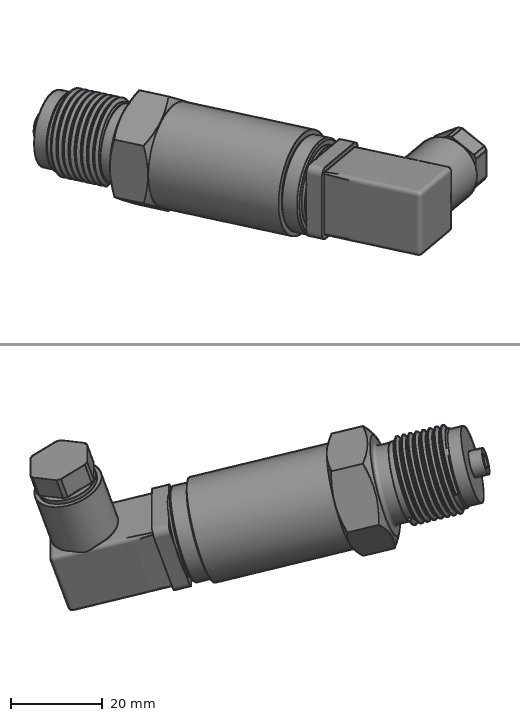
import cadquery as cq
import math


overall_depth = 39.2

tip_end = 3.0
thread_start = 6.0
thread_end = 19.5
hex_start = 23.0
hex_end = 32.7
housing_end = 64.6
cap_end = 69.0
gasket_end = 69.75
base_end = 73.5
plug_end = 97.3

tip_diameter = 6.0
port_diameter = 3.3
lead_diameter = 17.4
lead_cone_length = 0.4
thread_root_diameter = 18.1
thread_major_diameter = 19.8
thread_pitch = 1.5
ridge_root_width = 1.5
ridge_crest_width = 0.2
ridge_embed = 0.1
ridge_start = 6.8
ridge_length = 11.9
neck_diameter = 17.8
neck_fillet = 0.8
hex_corner_diameter = 27.7
hex_flats = hex_corner_diameter * math.cos(math.radians(30))
hex_front_face_diameter = 22.8
hex_rear_face_diameter = 23.8
hex_chamfer_slope = math.tan(math.radians(30))

housing_diameter = 23.8
cap_diameter = 21.8
cap_chamfer = 0.4
gasket_diameter = 18.9

base_side = 17.3
base_corner_radius = 1.75
plug_side = 15.5
plug_root_side = 15.2
plug_side_taper_end = 82.5
plug_top_taper_end = 78.4
plug_fillet = 1.0

gland_x = 89.2
gland_diameter = 15.4
gland_end = 20.2
washer_diameter = 13.3
washer_end = 21.1
nut_neck_diameter = 10.0
nut_start = 22.1
nut_end = overall_depth - hex_flats / 2
nut_flats = 12.9
nut_corner_diameter = 14.4


def x_cylinder(diameter, start, end):
    """Cylinder around the X axis between two stations."""
    return cq.Workplane("YZ", origin=(start, 0, 0)).circle(diameter / 2).extrude(end - start)


def gland_cylinder(diameter, start, end):
    """Cylinder around the gland axis between two Y stations."""
    plane = cq.Plane(origin=(gland_x, start, 0), xDir=(1, 0, 0), normal=(0, 1, 0))
    return cq.Workplane(plane).circle(diameter / 2).extrude(end - start)


def make_hexagon():
    """Hexagon with corners at +Z and -Z, its corners chamfered at both ends."""
    blank = (
        cq.Workplane("YZ", origin=(hex_start, 0, 0))
        .polygon(6, hex_corner_diameter)
        .extrude(hex_end - hex_start)
        .rotate((0, 0, 0), (1, 0, 0), 90)
    )
    corner_radius = hex_corner_diameter / 2
    front_radius = hex_front_face_diameter / 2
    rear_radius = hex_rear_face_diameter / 2
    envelope = (
        cq.Workplane("XY")
        .moveTo(hex_start, 0)
        .lineTo(hex_start, front_radius)
        .lineTo(hex_start + (corner_radius - front_radius) * hex_chamfer_slope, corner_radius)
        .lineTo(hex_end - (corner_radius - rear_radius) * hex_chamfer_slope, corner_radius)
        .lineTo(hex_end, rear_radius)
        .lineTo(hex_end, 0)
        .close()
        .revolve(360, (0, 0, 0), (1, 0, 0))
    )
    return blank.intersect(envelope)


def make_thread_ridge():
    """Helical ridge of the external thread, sunk slightly into the thread core."""
    root_radius = thread_root_diameter / 2 - ridge_embed
    crest_radius = thread_major_diameter / 2
    helix = cq.Wire.makeHelix(thread_pitch, ridge_length, root_radius)
    ridge = (
        cq.Workplane("XZ")
        .moveTo(root_radius, -ridge_root_width / 2)
        .lineTo(crest_radius, -ridge_crest_width / 2)
        .lineTo(crest_radius, ridge_crest_width / 2)
        .lineTo(root_radius, ridge_root_width / 2)
        .close()
        .sweep(cq.Workplane(helix), isFrenet=True)
    )
    return ridge.rotate((0, 0, 0), (0, 1, 0), 90).translate((ridge_start, 0, 0))


def make_fitting():
    """Process fitting: port tip, lead with a cone, threaded stem, filleted neck and hexagon."""
    root_radius = thread_root_diameter / 2
    neck_radius = neck_diameter / 2
    stem = (
        cq.Workplane("XY")
        .moveTo(0, 0)
        .lineTo(0, tip_diameter / 2)
        .lineTo(tip_end, tip_diameter / 2)
        .lineTo(tip_end, lead_diameter / 2)
        .lineTo(thread_start, lead_diameter / 2)
        .lineTo(thread_start + lead_cone_length, root_radius)
        .lineTo(thread_end, root_radius)
        .lineTo(thread_end, neck_radius)
        .lineTo(hex_start - neck_fillet, neck_radius)
        .radiusArc((hex_start, neck_radius + neck_fillet), -neck_fillet)
        .lineTo(hex_start, 0)
        .close()
        .revolve(360, (0, 0, 0), (1, 0, 0))
    )
    port = x_cylinder(port_diameter, 0, hex_end)
    return stem.union(make_hexagon()).cut(port).union(make_thread_ridge())


def make_cap():
    """Closing cap behind the housing, chamfered at both ends."""
    return x_cylinder(cap_diameter, housing_end, cap_end).faces("|X").edges().chamfer(cap_chamfer)


def make_base():
    """Square socket base with rounded corners."""
    return (
        cq.Workplane("YZ", origin=(gasket_end, 0, 0))
        .rect(base_side, base_side)
        .extrude(base_end - gasket_end)
        .edges("|X")
        .fillet(base_corner_radius)
    )


def make_plug_profile(plane, taper_end):
    """Plug outline in a plane through the X axis, narrowing toward the base, as a thick slab."""
    root = plug_root_side / 2
    full = plug_side / 2
    return (
        cq.Workplane(plane)
        .polyline([
            (base_end, -root),
            (taper_end, -full),
            (plug_end, -full),
            (plug_end, full),
            (taper_end, full),
            (base_end, root),
        ])
        .close()
        .extrude(plug_side, both=True)
    )


def make_plug():
    """Plug housing: a rounded block with its four sides tapered, and the gland barrel toward +Y."""
    block = (
        cq.Workplane("YZ", origin=(base_end, 0, 0))
        .rect(plug_side, plug_side)
        .extrude(plug_end - base_end)
    )
    rounded = block.edges("|X or >X").fillet(plug_fillet)
    tapered = (
        rounded
        .intersect(make_plug_profile("XY", plug_side_taper_end))
        .intersect(make_plug_profile("XZ", plug_top_taper_end))
    )
    return tapered.union(gland_cylinder(gland_diameter, 0, gland_end))


def make_nut():
    """Gland nut: a hexagon with turned corners on a round neck; its flats face +X and -X."""
    plane = cq.Plane(origin=(gland_x, nut_start, 0), xDir=(1, 0, 0), normal=(0, 1, 0))
    hexagon = cq.Workplane(plane).polygon(6, nut_flats, circumscribed=True).extrude(nut_end - nut_start)
    hexagon = hexagon.intersect(gland_cylinder(nut_corner_diameter, nut_start, nut_end))
    return hexagon.union(gland_cylinder(nut_neck_diameter, washer_end, nut_start))


fitting = make_fitting()
housing = x_cylinder(housing_diameter, hex_end, housing_end)
cap = make_cap()
gasket = x_cylinder(gasket_diameter, cap_end, gasket_end)
base = make_base()
plug = make_plug()
washer = gland_cylinder(washer_diameter, gland_end, washer_end)
nut = make_nut()

result = cq.Compound.makeCompound([
    fitting.val(),
    housing.val(),
    cap.val(),
    gasket.val(),
    base.val(),
    plug.val(),
    washer.val(),
    nut.val(),
])